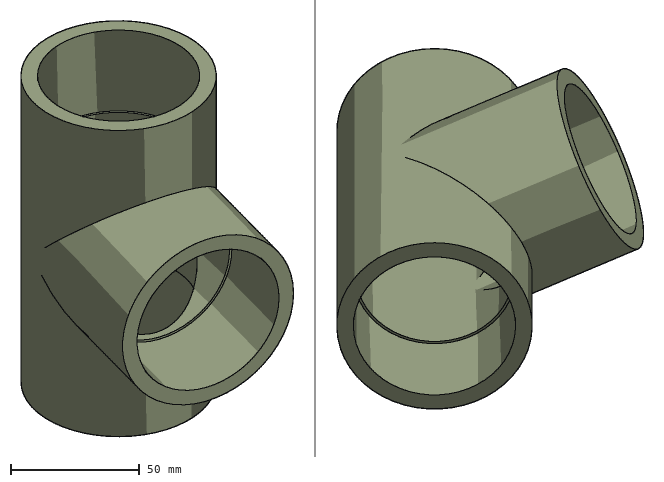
import cadquery as cq

run_length = 144.0
branch_length = run_length / 2
outer_diameter = 76.0
bore_diameter = 61.0
socket_diameter = 63.0
socket_depth = 38.0


def run_cylinder(diameter):
    """Full-length cylinder on the run axis, centred on the origin."""
    return cq.Workplane("XY").circle(diameter / 2).extrude(run_length / 2, both=True)


def branch_cylinder(diameter, start=0.0):
    """Cylinder on the branch axis, from start to the branch mouth."""
    plane = cq.Workplane("YZ").workplane(offset=start)
    return plane.circle(diameter / 2).extrude(branch_length - start)


def run_socket(end):
    """Pipe socket at the top (end = 1) or bottom (end = -1) of the run."""
    mouth = cq.Workplane("XY").workplane(offset=end * run_length / 2)
    return mouth.circle(socket_diameter / 2).extrude(-end * socket_depth)


body = run_cylinder(outer_diameter).union(branch_cylinder(outer_diameter))

bores = run_cylinder(bore_diameter).union(branch_cylinder(bore_diameter))
result = body.cut(bores)

for end in (1, -1):
    result = result.cut(run_socket(end))
result = result.cut(branch_cylinder(socket_diameter, branch_length - socket_depth))